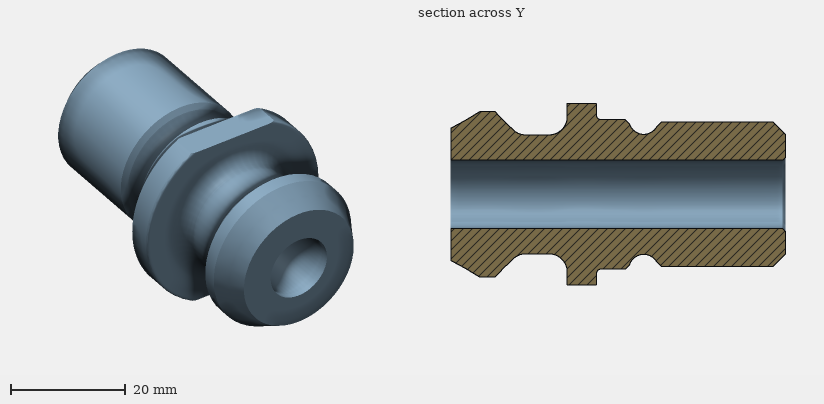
import cadquery as cq
import math

length = 58.4
bore_radius = 11.85 / 2
bore_chamfer = 0.5

barrel_radius = 25.3 / 2
collar_radius = 26.2 / 2
neck_radius = 20.85 / 2
head_radius = 29.0 / 2
flange_radius = 36.2 / 2

barrel_chamfer = barrel_radius - neck_radius
barrel_end = 21.7
groove_lead_in = 0.9
groove_bottom = 24.7
groove_radius = 10.5

collar_start = 28.0
collar_chamfer = 0.75
collar_fillet = 0.7

flange_start = 32.95
flange_width = 5.2
flange_end = flange_start + flange_width
flange_rounding = 0.6
across_flats = 31.7

neck_fillet = 3.1
head_fillet = 3.0
head_start = 50.7
head_end = 53.35
tip_radius = 11.55

half_angle_sin = math.sin(math.radians(22.5))
half_angle_cos = math.cos(math.radians(22.5))
cone_foot_radius = neck_radius + head_fillet * (1 - math.sqrt(0.5))
cone_foot = head_start - (head_radius - cone_foot_radius)
head_fillet_start = cone_foot - head_fillet * math.sqrt(0.5)
head_fillet_mid = (
    head_fillet_start + head_fillet * half_angle_sin,
    neck_radius + head_fillet * (1 - half_angle_cos),
)


def quarter_mid(center_x, center_radius, radius, x_side, radial_side):
    """Midpoint of a quarter arc; each side is +1 or -1 from the arc centre."""
    offset = radius * math.sqrt(0.5)
    return (center_x + x_side * offset, center_radius + radial_side * offset)


def make_body():
    """Revolve the outer profile, given as (x, radius), about the X axis."""
    collar_fillet_start = flange_start - collar_fillet
    collar_fillet_top = collar_radius + collar_fillet
    rim_start = flange_start + flange_rounding
    rim_end = flange_end - flange_rounding
    rim_center_radius = flange_radius - flange_rounding
    neck_fillet_end = flange_end + neck_fillet
    neck_fillet_top = neck_radius + neck_fillet
    profile = (
        cq.Workplane("XY")
        .moveTo(0, 0)
        .lineTo(0, barrel_radius - barrel_chamfer)
        .lineTo(barrel_chamfer, barrel_radius)
        .lineTo(barrel_end, barrel_radius)
        .lineTo(barrel_end + groove_lead_in, barrel_radius - groove_lead_in)
        .threePointArc(
            (groove_bottom, groove_radius),
            (collar_start - collar_chamfer, collar_radius - collar_chamfer),
        )
        .lineTo(collar_start, collar_radius)
        .lineTo(collar_fillet_start, collar_radius)
        .threePointArc(
            quarter_mid(collar_fillet_start, collar_fillet_top, collar_fillet, 1, -1),
            (flange_start, collar_fillet_top),
        )
        .lineTo(flange_start, rim_center_radius)
        .threePointArc(
            quarter_mid(rim_start, rim_center_radius, flange_rounding, -1, 1),
            (rim_start, flange_radius),
        )
        .lineTo(rim_end, flange_radius)
        .threePointArc(
            quarter_mid(rim_end, rim_center_radius, flange_rounding, 1, 1),
            (flange_end, rim_center_radius),
        )
        .lineTo(flange_end, neck_fillet_top)
        .threePointArc(
            quarter_mid(neck_fillet_end, neck_fillet_top, neck_fillet, -1, -1),
            (neck_fillet_end, neck_radius),
        )
        .lineTo(head_fillet_start, neck_radius)
        .threePointArc(head_fillet_mid, (cone_foot, cone_foot_radius))
        .lineTo(head_start, head_radius)
        .lineTo(head_end, head_radius)
        .lineTo(length, tip_radius)
        .lineTo(length, 0)
        .close()
    )
    return profile.revolve(360, (0, 0, 0), (1, 0, 0))


def cut_flats(body):
    """Trim the flange to its two flats, which clear every other section."""
    envelope = cq.Workplane("XY").box(
        length, 2 * flange_radius, across_flats, centered=(False, True, True)
    )
    return body.intersect(envelope)


def cut_bore(body):
    """Drill the through bore and chamfer its mouth at the barrel end."""
    bore = (
        cq.Workplane("XY")
        .moveTo(0, 0)
        .lineTo(0, bore_radius + bore_chamfer)
        .lineTo(bore_chamfer, bore_radius)
        .lineTo(length, bore_radius)
        .lineTo(length, 0)
        .close()
        .revolve(360, (0, 0, 0), (1, 0, 0))
    )
    return body.cut(bore)


result = cut_bore(cut_flats(make_body()))